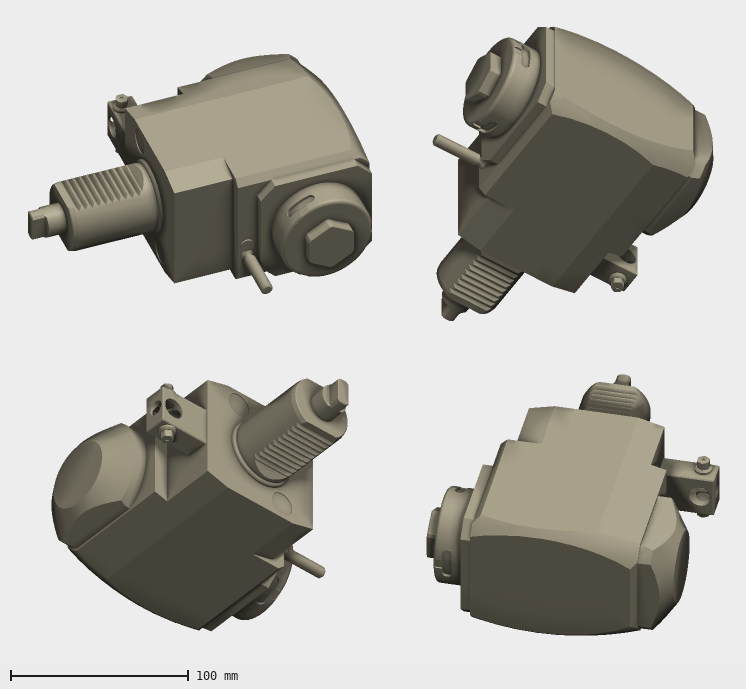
import math

import cadquery as cq


HALF_HEIGHT = 37.5
BACK_Y = 114.0
STEP_Y = 35.0
LOWER_HALF_WIDTH = 39.0
HEAD_LEFT_X = -48.0
HEAD_RIGHT_X = 47.5
FLAT_HALF_WIDTH = 24.0
SLOPE = math.tan(math.radians(15))
RIGHT_CHAMFER = 4.0
LEFT_BACK_CHAMFER = 3.4

SPINDLE_Y = 80.0
BARREL_PEAK_X = 10.0
BARREL_RADIUS = 47.95
BARREL_CROWN = 185.0

CAP_RADIUS = 37.5
CAP_END_RADIUS = 21.0
CAP_CONE_X = -55.4
CAP_END_X = -66.6
CAP_BACK_Y = 110.0
CAP_HALF_HEIGHT = 29.5
CAP_SLOPE_X = -51.5

PLATE_HALF = 33.5
PLATE_CHAMFER = 8.7
PLATE_END_X = 53.3
NUT_RADIUS = 27.5
NUT_END_X = 70.5
NUT_FILLET = 2.2
NUT_SLOT_COUNT = 3
NUT_SLOT_ANGLE = 30.0
NUT_SLOT_SPAN = 40.0
NUT_SLOT_X = 62.6
NUT_SLOT_WIDTH = 5.5
NUT_SLOT_DEPTH = 1.7
NUT_NOTCH_WIDTH = 5.8
NUT_NOTCH_DEPTH = 1.2
HEX_FLATS = 27.0
HEX_CORNER_FLATS = 30.0
HEX_END_X = 77.2
HEX_CHAMFER = 0.4

PIN_Y = 40.3
PIN_Z = -17.4
PIN_RADIUS = 3.5
PIN_END_X = 80.33
PIN_CHAMFER = 1.0
PIN_HEAD_RADIUS = 3.7
PIN_NECK_RADIUS = 2.5
PIN_HEAD_FLAT_X = 48.3
PIN_NECK_X = 49.6
PIN_BODY_X = 52.6
DISC_RADIUS = 4.1
DISC_THICKNESS = 1.0
DISC_Z = -10.4

COLLAR_RADIUS = 21.5
COLLAR_LENGTH = 2.2
COLLAR_ROUND = 1.9
NECK_RADIUS = 19.6
NECK_END = 3.8
SHANK_RADIUS = 20.0
SHANK_TIP_RADIUS = 19.4
SHANK_TAPER_START = 50.0
SHANK_LENGTH = 53.2
SHANK_CHAMFER = 0.5
FLAT_HEIGHT = 16.0
FLAT_RAMP_START = 5.1
TOOTH_COUNT = 10
TOOTH_PITCH = 4.0
TOOTH_DEPTH = 1.6
FIRST_TOOTH = 11.5

TANG_RADIUS = 8.85
TANG_SHOULDER = 63.8
TANG_END = 72.0
TANG_HALF_THICKNESS = 4.0
TANG_CHAMFER = 0.5
TANG_FACE_HALF_WIDTH = 7.05
TANG_ROOT_FILLET = 1.0

RECESS_X = 16.0
RECESS_Z = 27.6
RECESS_RADIUS = 7.5
RECESS_DEPTH = 0.5

OVERALL_LENGTH = 151.33
BLOCK_LEFT_X = PIN_END_X - OVERALL_LENGTH
BLOCK_FRONT_Y = 1.2
BLOCK_DEPTH = 15.0
BLOCK_HEIGHT = 25.0
BLOCK_CHAMFER = 0.6
PORT_X = -63.0
PORT_Y = 7.5
FRONT_PORT_RADIUS = 6.4
SIDE_PORT_RADIUS = 4.8
SIDE_PORT_DEPTH = 26.0
SIDE_DRILL_RADIUS = 1.7
SIDE_DRILL_DEPTH = 29.0
CROSS_BORE_RADIUS = 4.2
CROSS_BORE_LENGTH = 14.0

SCREW_Y = 7.0
SCREW_COLLAR_RADIUS = 5.1
SCREW_COLLAR_HEIGHT = 1.3
SCREW_CONE_RADIUS = 4.1
SCREW_CONE_HEIGHT = 2.2
SCREW_HEX_FLATS = 6.7
SCREW_CORNER_FLATS = 7.4
SCREW_HEIGHT = 6.8
SCREW_DIMPLE_RADIUS = 1.1
SCREW_DIMPLE_DEPTH = 0.5


def hex_diameter(across_flats):
    return across_flats / math.cos(math.radians(30))


def blunt_hexagon(plane, across_flats, across_corners, length):
    """Hexagonal prism with corners along the plane's local Y, each corner cut flat."""
    corners = plane.polygon(6, hex_diameter(across_corners)).extrude(length)
    flats = plane.transformed(rotate=(0, 0, 30)).polygon(6, hex_diameter(across_flats)).extrude(length)
    return flats.intersect(corners)


def box(x, y, z):
    """Box spanning the given (low, high) pairs."""
    size = (x[1] - x[0], y[1] - y[0], z[1] - z[0])
    return cq.Workplane("XY").box(*size, centered=False).translate((x[0], y[0], z[0]))


def prism_along_y(points, y_low, y_high):
    """Extrude an outline of (X, Z) points between two Y positions."""
    return cq.Workplane("XZ", origin=(0, y_low, 0)).polyline(points).close().extrude(y_low - y_high)


def cylinder_along_x(radius, x_low, x_high, y, z):
    return cq.Workplane("YZ", origin=(x_low, y, z)).circle(radius).extrude(x_high - x_low)


def turned_along_x(points, y, z):
    """Revolve (X, radius) points about the line parallel to X through (y, z)."""
    outline = [(points[0][0], 0)] + points + [(points[-1][0], 0)]
    return cq.Workplane("XY", origin=(0, y, z)).polyline(outline).close().revolve(360, (0, 0), (1, 0))


def mirrored_outline(points):
    """Close an upper (X, Z) outline with its reflection in Z = 0."""
    return points + [(x, -z) for x, z in reversed(points)]


def sloped_height(x):
    return HALF_HEIGHT - (abs(x) - FLAT_HALF_WIDTH) * SLOPE


def barrel_radius_at(x):
    drop = BARREL_CROWN - math.sqrt(BARREL_CROWN**2 - (x - BARREL_PEAK_X) ** 2)
    return BARREL_RADIUS - drop


def make_housing():
    lower_outline = mirrored_outline([
        (-LOWER_HALF_WIDTH, sloped_height(LOWER_HALF_WIDTH)),
        (-FLAT_HALF_WIDTH, HALF_HEIGHT),
        (FLAT_HALF_WIDTH, HALF_HEIGHT),
        (LOWER_HALF_WIDTH, sloped_height(LOWER_HALF_WIDTH)),
    ])
    head_outline = mirrored_outline([
        (HEAD_LEFT_X, sloped_height(HEAD_LEFT_X)),
        (-FLAT_HALF_WIDTH, HALF_HEIGHT),
        (HEAD_RIGHT_X - RIGHT_CHAMFER, HALF_HEIGHT),
        (HEAD_RIGHT_X, HALF_HEIGHT - RIGHT_CHAMFER),
    ])
    head = prism_along_y(head_outline, STEP_Y, BACK_Y)
    head = head.faces("<X").edges(">Y").chamfer(LEFT_BACK_CHAMFER)
    barrel = (
        cq.Workplane("XY", origin=(0, SPINDLE_Y, 0))
        .moveTo(HEAD_LEFT_X, 0)
        .lineTo(HEAD_LEFT_X, barrel_radius_at(HEAD_LEFT_X))
        .threePointArc((BARREL_PEAK_X, BARREL_RADIUS), (HEAD_RIGHT_X, barrel_radius_at(HEAD_RIGHT_X)))
        .lineTo(HEAD_RIGHT_X, 0)
        .close()
        .revolve(360, (0, 0), (1, 0))
    )
    front_half = box((HEAD_LEFT_X, HEAD_RIGHT_X), (STEP_Y, SPINDLE_Y), (-HALF_HEIGHT, HALF_HEIGHT))
    head = head.intersect(barrel.union(front_half))
    housing = prism_along_y(lower_outline, 0, STEP_Y).union(head)
    for side in (-1, 1):
        recess = cq.Workplane("XZ", origin=(side * RECESS_X, 0, -side * RECESS_Z))
        housing = housing.cut(recess.circle(RECESS_RADIUS).extrude(-RECESS_DEPTH))
    return housing


def make_cap():
    turned = turned_along_x(
        [(CAP_END_X, CAP_END_RADIUS), (CAP_CONE_X, CAP_RADIUS), (HEAD_LEFT_X, CAP_RADIUS)], SPINDLE_Y, 0
    )
    end_height = CAP_HALF_HEIGHT - (CAP_SLOPE_X - CAP_END_X) * SLOPE
    outline = mirrored_outline([
        (CAP_END_X, end_height),
        (CAP_SLOPE_X, CAP_HALF_HEIGHT),
        (HEAD_LEFT_X, CAP_HALF_HEIGHT),
    ])
    return turned.intersect(prism_along_y(outline, SPINDLE_Y - CAP_RADIUS, CAP_BACK_Y))


def make_plate():
    plate = box(
        (HEAD_RIGHT_X, PLATE_END_X),
        (SPINDLE_Y - PLATE_HALF, SPINDLE_Y + PLATE_HALF),
        (-PLATE_HALF, PLATE_HALF),
    )
    return plate.edges("|X").chamfer(PLATE_CHAMFER)


def make_nut_slot():
    """Slot around the nut's rim, centred on +Z, with a notch out to the end face."""
    end_radius = NUT_SLOT_WIDTH / 2
    half_arc = NUT_SLOT_SPAN / 2 - math.degrees(end_radius / NUT_RADIUS)
    half_angle = math.radians(half_arc)
    reach = NUT_RADIUS + NUT_SLOT_DEPTH
    low_x = NUT_SLOT_X - end_radius
    wedge = cq.Workplane("YZ", origin=(low_x, 0, 0)).polyline([
        (0, 0),
        (-reach * math.tan(half_angle), reach),
        (reach * math.tan(half_angle), reach),
    ])
    slot = wedge.close().extrude(NUT_SLOT_WIDTH)
    for side in (-1, 1):
        end = cq.Workplane("XY", origin=(NUT_SLOT_X, 0, 0)).circle(end_radius).extrude(reach)
        slot = slot.union(end.rotate((0, 0, 0), (1, 0, 0), side * half_arc))
    notch_side = NUT_NOTCH_WIDTH / 2
    notch = box((NUT_SLOT_X, NUT_END_X), (-notch_side, notch_side), (NUT_RADIUS - NUT_NOTCH_DEPTH, reach))
    core = cylinder_along_x(NUT_RADIUS - NUT_SLOT_DEPTH, PLATE_END_X, NUT_END_X, 0, 0)
    return slot.cut(core).union(notch)


def make_nut():
    nut = cylinder_along_x(NUT_RADIUS, PLATE_END_X, NUT_END_X, 0, 0)
    nut = nut.faces(">X").edges().fillet(NUT_FILLET)
    slot = make_nut_slot()
    for index in range(NUT_SLOT_COUNT):
        angle = NUT_SLOT_ANGLE + index * 360 / NUT_SLOT_COUNT
        nut = nut.cut(slot.rotate((0, 0, 0), (1, 0, 0), angle))
    return nut.translate((0, SPINDLE_Y, 0))


def make_hexagon():
    plane = cq.Workplane("YZ", origin=(NUT_END_X, SPINDLE_Y, 0))
    hexagon = blunt_hexagon(plane, HEX_FLATS, HEX_CORNER_FLATS, HEX_END_X - NUT_END_X)
    return hexagon.faces(">X").chamfer(HEX_CHAMFER)


def make_pin():
    pin = turned_along_x(
        [
            (HEAD_RIGHT_X, PIN_HEAD_RADIUS),
            (PIN_HEAD_FLAT_X, PIN_HEAD_RADIUS),
            (PIN_NECK_X, PIN_NECK_RADIUS),
            (PIN_BODY_X, PIN_NECK_RADIUS),
            (PIN_BODY_X, PIN_RADIUS),
            (PIN_END_X - PIN_CHAMFER, PIN_RADIUS),
            (PIN_END_X, PIN_RADIUS - PIN_CHAMFER),
        ],
        PIN_Y,
        PIN_Z,
    )
    disc = cylinder_along_x(DISC_RADIUS, HEAD_RIGHT_X, HEAD_RIGHT_X + DISC_THICKNESS, PIN_Y, DISC_Z)
    return pin.union(disc)


def make_flat_cut():
    """Material above the toothed flat on the +Z side, with the ramp at its inner end."""
    rise = SHANK_RADIUS - FLAT_HEIGHT
    above = SHANK_RADIUS + rise
    ramp_end = FLAT_RAMP_START + rise
    outline = cq.Workplane("YZ").polyline([
        (rise - FLAT_RAMP_START, above),
        (-ramp_end, FLAT_HEIGHT),
        (-SHANK_LENGTH, FLAT_HEIGHT),
        (-SHANK_LENGTH, above),
    ])
    cut = outline.close().extrude(SHANK_RADIUS, both=True)
    for index in range(TOOTH_COUNT):
        y = -FIRST_TOOTH - index * TOOTH_PITCH
        valley = cq.Workplane("YZ").polyline([
            (y - TOOTH_DEPTH, FLAT_HEIGHT),
            (y, FLAT_HEIGHT - TOOTH_DEPTH),
            (y + TOOTH_DEPTH, FLAT_HEIGHT),
        ])
        cut = cut.union(valley.close().extrude(SHANK_RADIUS, both=True))
    return cut


def make_shank():
    outline = [
        (0, 0),
        (NECK_RADIUS, 0),
        (NECK_RADIUS, -NECK_END),
        (SHANK_RADIUS, -NECK_END),
        (SHANK_RADIUS, -SHANK_TAPER_START),
        (SHANK_TIP_RADIUS, -SHANK_LENGTH + SHANK_CHAMFER),
        (SHANK_TIP_RADIUS - SHANK_CHAMFER, -SHANK_LENGTH),
        (0, -SHANK_LENGTH),
    ]
    shank = cq.Workplane("XY").polyline(outline).close().revolve(360, (0, 0), (0, 1))
    flat_cut = make_flat_cut()
    shank = shank.cut(flat_cut).cut(flat_cut.mirror("XY"))
    collar = cq.Workplane("XZ").circle(COLLAR_RADIUS).extrude(COLLAR_LENGTH)
    return shank.union(collar.faces("<Y").edges().fillet(COLLAR_ROUND))


def make_tang():
    shank_end = cq.Workplane("XZ", origin=(0, -SHANK_LENGTH, 0))
    tang = shank_end.circle(TANG_RADIUS).extrude(TANG_END - SHANK_LENGTH)
    for side in (-1, 1):
        x = sorted((side * TANG_HALF_THICKNESS, side * TANG_RADIUS))
        relief = box(x, (-TANG_END, -TANG_SHOULDER), (-TANG_RADIUS, TANG_RADIUS))
        inner_face = relief.faces("<X" if side > 0 else ">X")
        tang = tang.cut(inner_face.edges(">Y").fillet(TANG_ROOT_FILLET))
    bevel = TANG_RADIUS - TANG_FACE_HALF_WIDTH
    blade = box(
        (-TANG_HALF_THICKNESS, TANG_HALF_THICKNESS),
        (-TANG_END, -TANG_SHOULDER - TANG_ROOT_FILLET),
        (-TANG_RADIUS, TANG_RADIUS),
    )
    tang = tang.cut(blade.cut(blade.edges("|Y").chamfer(bevel)))
    return tang.faces("<Y").chamfer(TANG_CHAMFER)


def make_screw():
    """Screw plug standing on the block's upper face, modelled with its foot at Z = 0."""
    foot = (
        cq.Workplane("XZ")
        .polyline([
            (0, 0),
            (SCREW_COLLAR_RADIUS, 0),
            (SCREW_COLLAR_RADIUS, SCREW_COLLAR_HEIGHT),
            (SCREW_CONE_RADIUS, SCREW_CONE_HEIGHT),
            (0, SCREW_CONE_HEIGHT),
        ])
        .close()
        .revolve(360, (0, 0), (0, 1))
    )
    head = blunt_hexagon(cq.Workplane("XY"), SCREW_HEX_FLATS, SCREW_CORNER_FLATS, SCREW_HEIGHT)
    dimple = cq.Workplane("XY", origin=(0, 0, SCREW_HEIGHT)).circle(SCREW_DIMPLE_RADIUS)
    return foot.union(head).cut(dimple.extrude(-SCREW_DIMPLE_DEPTH))


def make_coolant_block():
    half_height = BLOCK_HEIGHT / 2
    block_back = BLOCK_FRONT_Y + BLOCK_DEPTH
    block = box(
        (BLOCK_LEFT_X, -LOWER_HALF_WIDTH), (BLOCK_FRONT_Y, block_back), (-half_height, half_height)
    )
    block = block.edges("|X or <X").chamfer(BLOCK_CHAMFER)
    front_port = cq.Workplane("XZ", origin=(PORT_X, BLOCK_FRONT_Y, 0)).circle(FRONT_PORT_RADIUS)
    block = block.cut(front_port.extrude(-BLOCK_DEPTH))
    for radius, depth in ((SIDE_PORT_RADIUS, SIDE_PORT_DEPTH), (SIDE_DRILL_RADIUS, SIDE_DRILL_DEPTH)):
        block = block.cut(cylinder_along_x(radius, BLOCK_LEFT_X, BLOCK_LEFT_X + depth, PORT_Y, 0))
    cross_bore = cq.Workplane("XY", origin=(PORT_X, PORT_Y, 0)).circle(CROSS_BORE_RADIUS)
    block = block.cut(cross_bore.extrude(CROSS_BORE_LENGTH / 2, both=True))
    screw = make_screw().translate((PORT_X, SCREW_Y, half_height))
    return block.union(screw).union(screw.mirror("XY"))


result = make_housing()
for piece in (
    make_cap(),
    make_plate(),
    make_nut(),
    make_hexagon(),
    make_pin(),
    make_shank(),
    make_tang(),
    make_coolant_block(),
):
    result = result.union(piece)